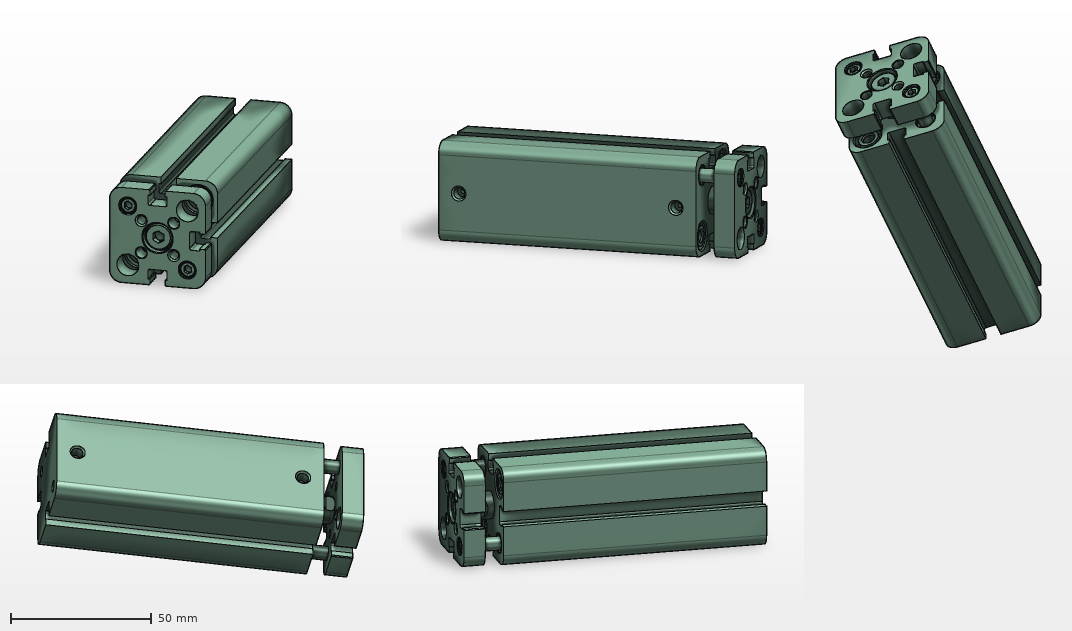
import cadquery as cq
import math

total_length = 111.6
plate_thickness = 7.8
plate_gap = 6.7
plate_back = plate_thickness
body_front = plate_back + plate_gap
body_length = total_length - body_front

body_width = 36.3
plate_width = 35.6
corner_radius = 4.5

slot_floor = 11.9
slot_inner_width = 7.0
slot_corner_radius = 0.8
slot_mouth_width = 5.7
slot_lip = 15.6
plate_mouth_chamfer = 0.3
slot_angles = (0, 90, 180)

guide_offset = 11.0
thread_offset = 6.0
guide_places = [(-guide_offset, guide_offset), (guide_offset, -guide_offset)]
bolt_places = [(guide_offset, guide_offset), (-guide_offset, -guide_offset)]
thread_places = [(-thread_offset, thread_offset), (thread_offset, -thread_offset)]
pin_places = [(thread_offset, thread_offset), (-thread_offset, -thread_offset)]

rod_diameter = 5.0
rod_seal_mouth = 7.6
rod_seal_bore = 7.0
rod_seal_depth = 1.1
screw_recess_mouth = 6.7
screw_recess_bore = 6.0
screw_recess_depth = 1.3
screw_head_diameter = 5.5
screw_head_face = 5.0
screw_head_sink = 0.6
screw_socket_size = 2.8
screw_socket_depth = 1.7

bolt_access_diameter = 8.0
thread_bore = 3.2
thread_mouth = 4.5
pin_bore = 4.0
pin_mouth = 4.5

bolt_recess_mouth = 11.0
bolt_recess_bore = 10.0
bolt_recess_depth = 3.3
bolt_head_diameter = 7.6
bolt_head_sink = 0.6
bolt_hole_mouth = 5.0
bolt_hole_bore = 4.0

piston_rod_diameter = 10.0
piston_rod_end_radius = 1.3
wrench_flat_size = 8.0
flat_start = 3.3
flat_lead_in = 1.0
centre_recess_mouth = 11.6
centre_recess_bore = 10.9
centre_recess_depth = 2.9
centre_screw_diameter = 9.8
centre_screw_face = 8.9
centre_screw_sink = 1.1
centre_socket_size = 4.0
centre_socket_depth = 2.8

port_end_distance = 7.6
port_mouth = 5.5
port_bore = 4.1
port_depth = 5.0
port_passage_diameter = 1.8
port_passage_depth = 4.5


def section_at(y):
    """XZ sketch plane at depth y; a negative extrusion runs toward +Y."""
    return cq.Workplane("XZ", origin=(0, y, 0))


def rods(places, y, diameter, length):
    """Cylinders along +Y, starting at depth y."""
    return section_at(y).pushPoints(places).circle(diameter / 2).extrude(-length)


def at_places(shape, places):
    """Copies of a shape built on the part axis, moved to each (x, z) place."""
    copies = cq.Workplane("XZ")
    for x, z in places:
        copies = copies.add(shape.translate((x, 0, z)))
    return copies.combine()


def turned(outline):
    """Solid of revolution about the Y axis from closed (radius, y) corner points."""
    return cq.Workplane("XY").polyline(outline).close().revolve(360, (0, 0, 0), (0, 1, 0))


def chamfered_hole(places, y, mouth, bore, depth):
    """Hole along +Y with a 45 degree chamfer from the mouth to the bore diameter."""
    chamfer = (mouth - bore) / 2
    hole = turned([
        (0, y), (mouth / 2, y), (bore / 2, y + chamfer), (bore / 2, y + depth), (0, y + depth),
    ])
    return at_places(hole, places)


def screw_head(places, y, diameter, face_diameter, length):
    """Screw head with a 45 degree chamfer around its front face at depth y."""
    chamfer = (diameter - face_diameter) / 2
    head = turned([
        (0, y), (face_diameter / 2, y), (diameter / 2, y + chamfer),
        (diameter / 2, y + length), (0, y + length),
    ])
    return at_places(head, places)


def hex_socket(places, y, size, depth):
    """Hexagon socket with corners toward +Z and -Z and a conical bottom."""
    corner_diameter = size / math.cos(math.pi / 6)
    prism = section_at(y).polygon(6, corner_diameter).extrude(-depth)
    prism = prism.rotate((0, 0, 0), (0, 1, 0), 30)
    floor = y + depth
    cone = turned([(0, floor), (size / 2, floor), (0, floor + size / 4)])
    return at_places(prism.union(cone), places)


def t_slots(y, length, mouth_chamfer, outer_width):
    """T-slots along +Y on each open side, their mouths chamfered at the outer faces."""
    outside = outer_width / 2
    half_mouth = slot_mouth_width / 2
    chamber = (
        section_at(y).center(0, (slot_floor + slot_lip) / 2)
        .rect(slot_inner_width, slot_lip - slot_floor).extrude(-length)
        .edges("|Y").edges("<Z").fillet(slot_corner_radius)
    )
    opening = (
        section_at(y).center(0, (slot_floor + outside) / 2)
        .rect(slot_mouth_width, outside - slot_floor).extrude(-length)
    )
    slot = chamber.union(opening)
    if mouth_chamfer:
        bevel = (
            section_at(y)
            .polyline([
                (-half_mouth - mouth_chamfer, outside), (half_mouth + mouth_chamfer, outside),
                (half_mouth, outside - mouth_chamfer), (-half_mouth, outside - mouth_chamfer),
            ])
            .close().extrude(-length)
        )
        slot = slot.union(bevel)
    slots = cq.Workplane("XZ")
    for angle in slot_angles:
        slots = slots.add(slot.rotate((0, 0, 0), (0, 1, 0), angle))
    return slots.combine()


def rounded_block(y, width, length):
    """Square block along +Y with rounded long edges."""
    block = section_at(y).rect(width, width).extrude(-length)
    return block.edges("|Y").fillet(corner_radius)


def air_port(y):
    """Chamfered port on the -X side with a narrow passage in its floor."""
    chamfer = (port_mouth - port_bore) / 2
    passage_end = port_depth + port_passage_depth
    port = turned([
        (0, 0), (port_mouth / 2, 0), (port_bore / 2, chamfer), (port_bore / 2, port_depth),
        (port_passage_diameter / 2, port_depth), (port_passage_diameter / 2, passage_end),
        (0, passage_end),
    ])
    port = port.rotate((0, 0, 0), (0, 0, 1), -90)
    return port.translate((-body_width / 2, y, 0))


def make_body():
    body = rounded_block(body_front, body_width, body_length)
    body = body.cut(t_slots(body_front, body_length, 0, body_width))
    body = body.cut(chamfered_hole(
        bolt_places, body_front, bolt_recess_mouth, bolt_recess_bore, bolt_recess_depth))
    head_front = body_front + bolt_head_sink
    body = body.union(rods(
        bolt_places, head_front, bolt_head_diameter, bolt_recess_depth - bolt_head_sink))
    body = body.cut(chamfered_hole(
        bolt_places, head_front, bolt_hole_mouth, bolt_hole_bore, body_length))
    body = body.cut(chamfered_hole(
        guide_places, body_front, rod_seal_mouth, rod_seal_bore, rod_seal_depth))
    for port_y in (body_front + port_end_distance, total_length - port_end_distance):
        body = body.cut(air_port(port_y))
    return body


def make_plate():
    plate = rounded_block(0, plate_width, plate_thickness)
    plate = plate.cut(t_slots(0, plate_thickness, plate_mouth_chamfer, plate_width))
    plate = plate.cut(rods(bolt_places, 0, bolt_access_diameter, plate_thickness))
    plate = plate.cut(chamfered_hole(
        thread_places, 0, thread_mouth, thread_bore, plate_thickness))
    plate = plate.cut(chamfered_hole(pin_places, 0, pin_mouth, pin_bore, plate_thickness))

    plate = plate.cut(chamfered_hole(
        guide_places, 0, screw_recess_mouth, screw_recess_bore, screw_recess_depth))
    plate = plate.union(screw_head(
        guide_places, screw_head_sink, screw_head_diameter, screw_head_face,
        screw_recess_depth - screw_head_sink))
    plate = plate.cut(hex_socket(
        guide_places, screw_head_sink, screw_socket_size, screw_socket_depth))

    centre = [(0, 0)]
    plate = plate.cut(chamfered_hole(
        centre, 0, centre_recess_mouth, centre_recess_bore, centre_recess_depth))
    plate = plate.union(screw_head(
        centre, centre_screw_sink, centre_screw_diameter, centre_screw_face,
        centre_recess_depth - centre_screw_sink))
    return plate.cut(hex_socket(
        centre, centre_screw_sink, centre_socket_size, centre_socket_depth))


def make_piston_rod():
    """Piston rod with a rounded end and two wrench flats facing -X and +X."""
    rod = rods([(0, 0)], plate_back, piston_rod_diameter, plate_gap)
    rod = rod.faces("<Y").edges().fillet(piston_rod_end_radius)
    flat_x = wrench_flat_size / 2
    rod_radius = piston_rod_diameter / 2
    flat_y = body_front - flat_start
    notch = (
        cq.Workplane("XY")
        .polyline([
            (flat_x, plate_back), (flat_x, flat_y),
            (rod_radius, flat_y + flat_lead_in), (rod_radius, plate_back),
        ])
        .close().extrude(rod_radius, both=True)
    )
    return rod.cut(notch).cut(notch.mirror("YZ"))


guide_rods = rods(guide_places, plate_back, rod_diameter, plate_gap + rod_seal_depth)

result = make_body().union(make_plate()).union(make_piston_rod()).union(guide_rods)